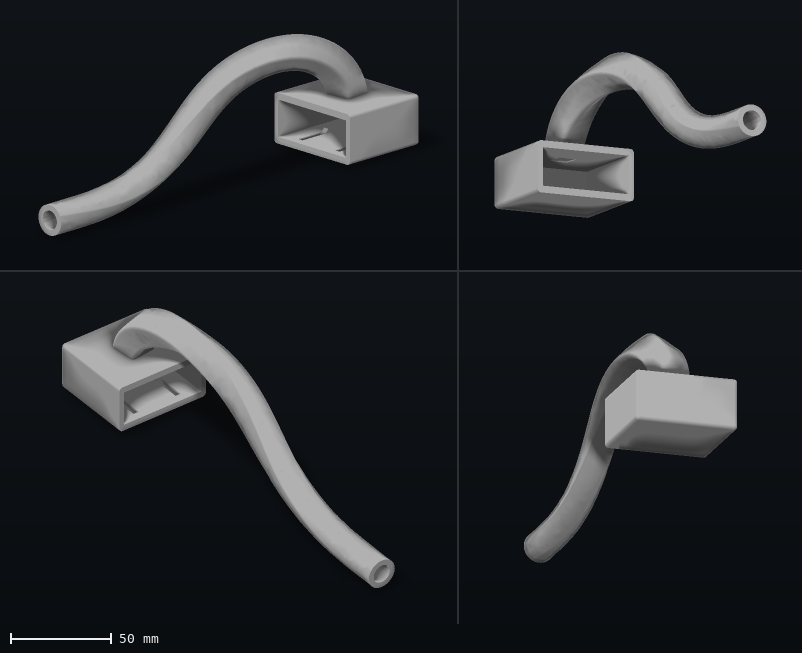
import cadquery as cq
import math

BOX_WIDTH = 53.5
BOX_DEPTH = 49.0
BOX_HEIGHT = 26.5
SIDE_WALL = 2.75
PLATE_THICKNESS = 3.5
BACK_WALL = 3.0
EDGE_ROUND = 2.0
CAVITY_WIDTH = BOX_WIDTH - 2 * SIDE_WALL
CAVITY_HEIGHT = BOX_HEIGHT - 2 * PLATE_THICKNESS
FLOOR_Z = -BOX_HEIGHT + PLATE_THICKNESS
FRONT_Y = -BOX_DEPTH / 2

LATCH_X = 13.0
LATCH_WIDTH = 3.0
LATCH_STEP = 2.0
LATCH_SETBACK = 4.7
GROOVE_FLOOR_LENGTH = 12.0

ROOT_SIZE = 15.5
TIP_DIAMETER = 16.0
NECK_WALL = 3.0
ROOT_CORNER = 2.0
BORE_SIZE = ROOT_SIZE - 2 * NECK_WALL
BORE_CORNER = 0.5
TIP_CORNER_ANGLE = 2.0
TWIST = 162.0
SECTION_COUNT = 19

TIP_Y = -207.17
TIP_Z = -20.2
CENTRELINE = [
    (0.6, -7.0),
    (-5.0, 11.0),
    (-22.4, 24.5),
    (-53.5, 30.8),
    (-91.3, 21.7),
    (-125.0, -3.7),
    (-159.0, -17.6),
    (-197.0, TIP_Z),
    (TIP_Y, TIP_Z),
]


def make_centreline():
    return cq.Edge.makeSpline([cq.Vector(0, y, z) for y, z in CENTRELINE])


def blend(start, end, t):
    return tuple(a + (b - a) * t for a, b in zip(start, end))


def turned(point, angle):
    c = math.cos(math.radians(angle))
    s = math.sin(math.radians(angle))
    return (point[0] * c - point[1] * s, point[0] * s + point[1] * c)


def neck_section(plane, size, corner, diameter, t):
    """Closed wire of four sides and four corners, a fraction t of the way from square to circle."""
    half = size / 2
    flat = half - corner
    corner_mid = flat + corner * math.sqrt(0.5)
    radius = diameter / 2
    side_end = blend((half, flat), turned((radius, 0), 45 - TIP_CORNER_ANGLE), t)
    side_mid = blend((half, 0), (radius, 0), t)
    tip = blend((corner_mid, corner_mid), turned((radius, 0), 45), t)
    side_start = (side_end[0], -side_end[1])
    corner_end = (side_end[1], side_end[0])

    edges = []
    for quarter in range(4):
        angle = 90 * quarter + TWIST * t
        a, b, c, d, e = [
            plane.toWorldCoords(turned(p, angle))
            for p in (side_start, side_mid, side_end, tip, corner_end)
        ]
        edges.append(cq.Edge.makeThreePointArc(a, b, c) if t > 0 else cq.Edge.makeLine(a, c))
        edges.append(cq.Edge.makeThreePointArc(c, d, e))
    return cq.Wire.assembleEdges(edges)


def twisted_loft(path, size, corner, diameter):
    sections = []
    for i in range(SECTION_COUNT):
        t = i / (SECTION_COUNT - 1)
        plane = cq.Plane(path.positionAt(t), xDir=(1, 0, 0), normal=path.tangentAt(t))
        sections.append(neck_section(plane, size, corner, diameter, t))
    return cq.Workplane(obj=cq.Solid.makeLoft(sections))


def make_box():
    body = cq.Workplane().box(BOX_WIDTH, BOX_DEPTH, BOX_HEIGHT, centered=(True, True, False))
    body = body.translate((0, 0, -BOX_HEIGHT))
    return body.edges("|Y or >Y").fillet(EDGE_ROUND)


def make_cavity():
    cavity = cq.Workplane().box(
        CAVITY_WIDTH, BOX_DEPTH - BACK_WALL, CAVITY_HEIGHT, centered=(True, False, False)
    )
    return cavity.translate((0, FRONT_Y, FLOOR_Z))


def latch_prism(points, x):
    return (cq.Workplane("YZ", origin=(x - LATCH_WIDTH / 2, 0, 0))
            .polyline(points).close().extrude(LATCH_WIDTH))


def add_latch(body, x):
    groove_start = FRONT_Y + LATCH_SETBACK
    groove_low = groove_start + LATCH_STEP
    ramp_low = groove_low + GROOVE_FLOOR_LENGTH
    ramp_mid = ramp_low + LATCH_STEP
    ramp_top = ramp_mid + LATCH_STEP
    low_z = FLOOR_Z - LATCH_STEP
    groove = [(groove_start, FLOOR_Z), (groove_low, low_z), (ramp_low, low_z), (ramp_mid, FLOOR_Z)]
    rib = [(ramp_mid, FLOOR_Z), (ramp_top, FLOOR_Z + LATCH_STEP), (ramp_top, FLOOR_Z)]
    return body.cut(latch_prism(groove, x)).union(latch_prism(rib, x))


centreline = make_centreline()
neck = twisted_loft(centreline, ROOT_SIZE, ROOT_CORNER, TIP_DIAMETER)
bore = twisted_loft(centreline, BORE_SIZE, BORE_CORNER, TIP_DIAMETER - 2 * NECK_WALL)

result = make_box().union(neck).cut(make_cavity()).cut(bore)
for side in (-1, 1):
    result = add_latch(result, side * LATCH_X)